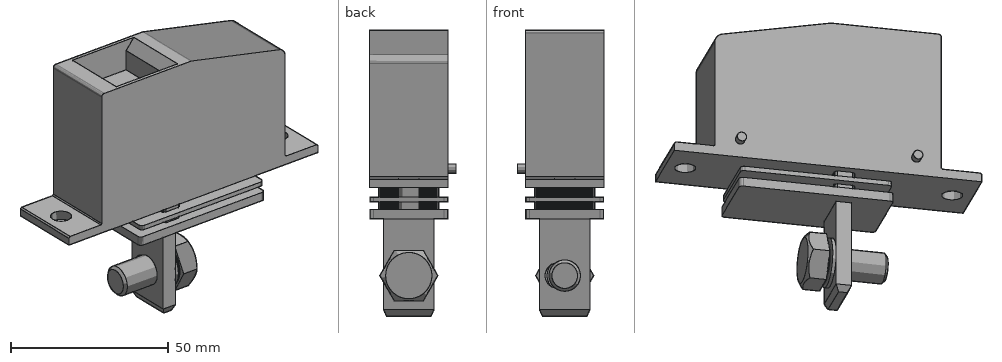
import cadquery as cq
import math


FLANGE_LENGTH = 100.7
FLANGE_THICKNESS = 3.0
FLANGE_EDGE_CHAMFER = 0.5
FLANGE_ROOT_CHAMFER = 0.4
HOUSING_WIDTH = 25.0
HOUSING_HEIGHT = 50.0
BODY_LENGTH = 74.1
ROOF_BREAK_Y = -0.9
ROOF_DROP = 8.3
ROOF_FRONT_RADIUS = 1.0
ROOF_BACK_RADIUS = 3.0
MOUNT_HOLE_DIAMETER = 6.6
MOUNT_HOLE_SPACING = 87.4
STUD_DIAMETER = 3.0
STUD_LENGTH = 2.5
STUD_SPACING = 57.7
STUD_Z = 6.0

POCKET_WIDTH = 22.6
POCKET_BACK_Y = -5.4
POCKET_FRONT_Y = -30.3
POCKET_DEPTH = 10.7
BACK_BEVEL_LENGTH = 3.1
BACK_BEVEL_DEPTH = 3.7
FRONT_WALL_LENGTH = 3.3

PLATE_WIDTH = 24.8
PLATE_Y = 3.7
PLATE_CORNER_RADIUS = 1.2
GASKET_LENGTH = 49.4
GASKET_TOP = -3.0
GASKET_THICKNESS = 1.5
COVER_LENGTH = 50.4
COVER_TOP = -6.9
COVER_THICKNESS = 3.0
POST_DIAMETER = 6.5
POST_Y = 19.7

BLADE_WIDTH = 16.1
BLADE_THICKNESS = 5.0
BLADE_Y = -6.2
BLADE_BOTTOM = -41.0
TIP_HEIGHT = 2.2
TIP_INSET = 1.0
SHANK_WIDTH = 19.1
SHANK_THICKNESS = 6.2
SHANK_CHAMFER = (SHANK_THICKNESS - BLADE_THICKNESS) / 2
RIB_COUNT = 14
RIB_PITCH = -COVER_TOP / RIB_COUNT
RIB_HEIGHT = 0.3
SIDE_HOLE_DIAMETER = 8.1
SIDE_HOLE_X = -2.2

BOLT_Z = -28.0
BOLT_DIAMETER = 10.0
BOLT_TIP_CHAMFER = 0.9
BOLT_TIP_Y = -21.8
HEAD_FLATS = 16.0
HEAD_TOP_Y = 5.3
HEAD_HEIGHT = 6.7
HEAD_FACE_RADIUS = 7.4
HEAD_CHAMFER_HEIGHT = 1.3
COLLAR_DIAMETER = 14.6
COLLAR_THICKNESS = 0.3
WASHER_OUTER_DIAMETER = 16.0
WASHER_INNER_DIAMETER = 11.2
WASHER_THICKNESS = 1.4
WASHER_CHAMFER_HEIGHT = 0.3
WASHER_CHAMFER_WIDTH = 1.0


def cylinder_along_y(diameter, start_y, end_y, x=0):
    """Cylinder at the height of the bolt, running towards -Y from start_y to end_y."""
    plane = cq.Workplane("XZ", origin=(x, start_y, BOLT_Z))
    return plane.circle(diameter / 2).extrude(start_y - end_y)


def make_pocket():
    """Cutter for the roof pocket: flat floor, bevelled back wall and sloping front wall."""
    floor_z = HOUSING_HEIGHT - POCKET_DEPTH
    floor_back_y = POCKET_BACK_Y - BACK_BEVEL_LENGTH
    floor_front_y = POCKET_FRONT_Y + FRONT_WALL_LENGTH
    return (
        cq.Workplane("YZ")
        .moveTo(POCKET_BACK_Y, HOUSING_HEIGHT)
        .lineTo(floor_back_y, HOUSING_HEIGHT - BACK_BEVEL_DEPTH)
        .lineTo(floor_back_y, floor_z)
        .lineTo(floor_front_y, floor_z)
        .lineTo(POCKET_FRONT_Y, HOUSING_HEIGHT)
        .close()
        .extrude(POCKET_WIDTH / 2, both=True)
    )


def make_housing():
    half_length = BODY_LENGTH / 2
    body = (
        cq.Workplane("YZ")
        .moveTo(-half_length, 0)
        .lineTo(half_length, 0)
        .lineTo(half_length, HOUSING_HEIGHT - ROOF_DROP)
        .lineTo(ROOF_BREAK_Y, HOUSING_HEIGHT)
        .lineTo(-half_length, HOUSING_HEIGHT)
        .close()
        .extrude(HOUSING_WIDTH / 2, both=True)
    )
    body = body.edges("|X and >Z and <Y").fillet(ROOF_FRONT_RADIUS)
    back_roof_edge = cq.selectors.NearestToPointSelector((0, half_length, HOUSING_HEIGHT - ROOF_DROP))
    body = body.edges(back_roof_edge).fillet(ROOF_BACK_RADIUS)

    flange = (
        cq.Workplane("XY")
        .box(HOUSING_WIDTH, FLANGE_LENGTH, FLANGE_THICKNESS, centered=(True, True, False))
        .edges("|X and >Z")
        .chamfer(FLANGE_EDGE_CHAMFER)
        .faces("<Z")
        .workplane()
        .pushPoints([(0, -MOUNT_HOLE_SPACING / 2), (0, MOUNT_HOLE_SPACING / 2)])
        .hole(MOUNT_HOLE_DIAMETER)
    )
    studs = (
        cq.Workplane("YZ", origin=(-HOUSING_WIDTH / 2, 0, STUD_Z))
        .pushPoints([(-STUD_SPACING / 2, 0), (STUD_SPACING / 2, 0)])
        .circle(STUD_DIAMETER / 2)
        .extrude(-STUD_LENGTH)
    )
    housing = body.union(flange)
    for side in (-1, 1):
        root = cq.selectors.NearestToPointSelector((0, side * half_length, FLANGE_THICKNESS))
        housing = housing.edges(root).chamfer(FLANGE_ROOT_CHAMFER)
    return housing.union(studs).cut(make_pocket())


def make_plate(length, top, thickness):
    """Flat plate with rounded corners, hanging down from the height top."""
    return (
        cq.Workplane("XY", origin=(0, PLATE_Y, top))
        .rect(PLATE_WIDTH, length)
        .extrude(-thickness)
        .edges("|Z")
        .fillet(PLATE_CORNER_RADIUS)
    )


def make_post():
    """Round post from the top of the cover plate up to the housing."""
    return cq.Workplane("XY", origin=(0, POST_Y, COVER_TOP)).circle(POST_DIAMETER / 2).extrude(-COVER_TOP)


def make_shank_core():
    """Shank between cover plate and housing, without its ribs."""
    return (
        cq.Workplane("XY", origin=(0, BLADE_Y, COVER_TOP))
        .rect(SHANK_WIDTH, SHANK_THICKNESS)
        .extrude(-COVER_TOP)
        .edges("|Z")
        .chamfer(SHANK_CHAMFER)
    )


def make_ribs(side):
    """Row of sharp ribs along X, standing on one broad face of the shank (side -1 or 1)."""
    face_y = BLADE_Y + side * SHANK_THICKNESS / 2
    outline = cq.Workplane("YZ").moveTo(BLADE_Y, COVER_TOP).lineTo(face_y, COVER_TOP)
    for index in range(RIB_COUNT):
        rib_z = COVER_TOP + index * RIB_PITCH
        outline = outline.lineTo(face_y + side * RIB_HEIGHT, rib_z + RIB_PITCH / 2)
        outline = outline.lineTo(face_y, rib_z + RIB_PITCH)
    return outline.lineTo(BLADE_Y, 0).close().extrude(SHANK_WIDTH / 2 - SHANK_CHAMFER, both=True)


def make_shank():
    return make_shank_core().union(make_ribs(-1)).union(make_ribs(1))


def make_blade_bar():
    """Flat bar below the shank, with a tapered tip."""
    return (
        cq.Workplane("XY", origin=(0, BLADE_Y, BLADE_BOTTOM))
        .rect(BLADE_WIDTH, BLADE_THICKNESS)
        .extrude(COVER_TOP - BLADE_BOTTOM)
        .faces("<Z")
        .chamfer(TIP_HEIGHT, TIP_INSET)
    )


def make_blade():
    shank = make_shank()
    back_y = BLADE_Y + BLADE_THICKNESS / 2
    front_y = BLADE_Y - BLADE_THICKNESS / 2
    bolt_hole = cylinder_along_y(BOLT_DIAMETER, back_y, front_y)
    side_hole = cylinder_along_y(SIDE_HOLE_DIAMETER, back_y, front_y, SIDE_HOLE_X)
    return shank.union(make_blade_bar()).cut(bolt_hole).cut(side_hole)


def make_bolt():
    corner_radius = HEAD_FLATS / math.sqrt(3)
    head_base_y = HEAD_TOP_Y - HEAD_HEIGHT
    hexagon = (
        cq.Workplane("XZ", origin=(0, HEAD_TOP_Y, BOLT_Z))
        .polygon(6, 2 * corner_radius)
        .extrude(HEAD_HEIGHT)
    )
    chamfer_envelope = (
        cq.Workplane("XY", origin=(0, 0, BOLT_Z))
        .moveTo(0, HEAD_TOP_Y)
        .lineTo(HEAD_FACE_RADIUS, HEAD_TOP_Y)
        .lineTo(corner_radius, HEAD_TOP_Y - HEAD_CHAMFER_HEIGHT)
        .lineTo(corner_radius, head_base_y)
        .lineTo(0, head_base_y)
        .close()
        .revolve(360, (0, 0), (0, 1))
    )
    collar = cylinder_along_y(COLLAR_DIAMETER, head_base_y, head_base_y - COLLAR_THICKNESS)
    shaft = cylinder_along_y(BOLT_DIAMETER, head_base_y, BOLT_TIP_Y)
    shaft = shaft.faces("<Y").chamfer(BOLT_TIP_CHAMFER)
    return hexagon.intersect(chamfer_envelope).union(collar).union(shaft)


def make_washer():
    """Washer against the back of the blade, bevelled towards the bolt head."""
    blade_back_y = BLADE_Y + BLADE_THICKNESS / 2
    top_y = blade_back_y + WASHER_THICKNESS
    outer_radius = WASHER_OUTER_DIAMETER / 2
    inner_radius = WASHER_INNER_DIAMETER / 2
    return (
        cq.Workplane("XY", origin=(0, 0, BOLT_Z))
        .moveTo(inner_radius, blade_back_y)
        .lineTo(outer_radius, blade_back_y)
        .lineTo(outer_radius, top_y - WASHER_CHAMFER_HEIGHT)
        .lineTo(outer_radius - WASHER_CHAMFER_WIDTH, top_y)
        .lineTo(inner_radius, top_y)
        .close()
        .revolve(360, (0, 0), (0, 1))
    )


housing = make_housing()
blade = make_blade()
gasket = make_plate(GASKET_LENGTH, GASKET_TOP, GASKET_THICKNESS).cut(make_shank()).cut(make_post())
cover = make_plate(COVER_LENGTH, COVER_TOP, COVER_THICKNESS).union(make_post()).cut(make_blade_bar())
bolt = make_bolt()
washer = make_washer()

result = cq.Compound.makeCompound(
    [housing.val(), gasket.val(), cover.val(), blade.val(), bolt.val(), washer.val()]
)